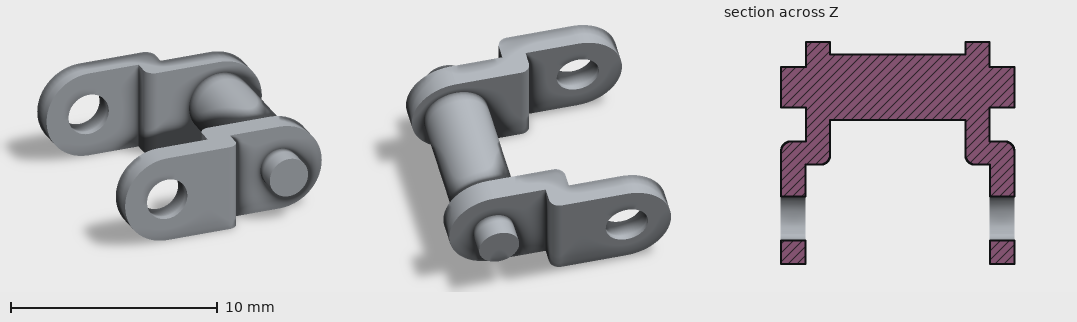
import cadquery as cq

overall_width = 11.3
link_height = 4.4
pitch = 6.35
thickness = 1.2
step_depth = 1.15
bend_radius = 0.5
hole_diameter = 2.1
pin_diameter = 2.0
roller_diameter = 3.2

outer_face = overall_width / 2
step_face = outer_face - thickness
inner_face = step_face - thickness
end_radius = link_height / 2
pin_y = pitch / 2
hole_y = -pin_y
end_y = pin_y + end_radius
step_y = step_depth / 2


def x_cylinder(diameter, length, y):
    """Cylinder along X, centred on the YZ plane."""
    start = cq.Workplane("YZ", origin=(-length / 2, y, 0))
    return start.circle(diameter / 2).extrude(length)


def stepped_strip():
    """Stepped sheet on the +X side, with square ends."""
    strip = (
        cq.Workplane("XY")
        .polyline([
            (outer_face, -end_y),
            (outer_face, step_y),
            (step_face, step_y),
            (step_face, end_y),
            (inner_face, end_y),
            (inner_face, -step_y),
            (step_face, -step_y),
            (step_face, -end_y),
        ])
        .close()
        .extrude(end_radius, both=True)
    )
    for corner in [(outer_face, step_y, 0), (inner_face, -step_y, 0)]:
        strip = strip.edges(cq.selectors.NearestToPointSelector(corner)).fillet(bend_radius)
    return strip


side_outline = cq.Workplane("YZ").slot2D(2 * end_y, link_height).extrude(outer_face, both=True)
link = stepped_strip().intersect(side_outline)
links = link.union(link.mirror("YZ"))
links = links.cut(x_cylinder(hole_diameter, overall_width, hole_y))

roller = x_cylinder(roller_diameter, 2 * inner_face, pin_y)
pin = x_cylinder(pin_diameter, overall_width, pin_y)

result = links.union(roller).union(pin)